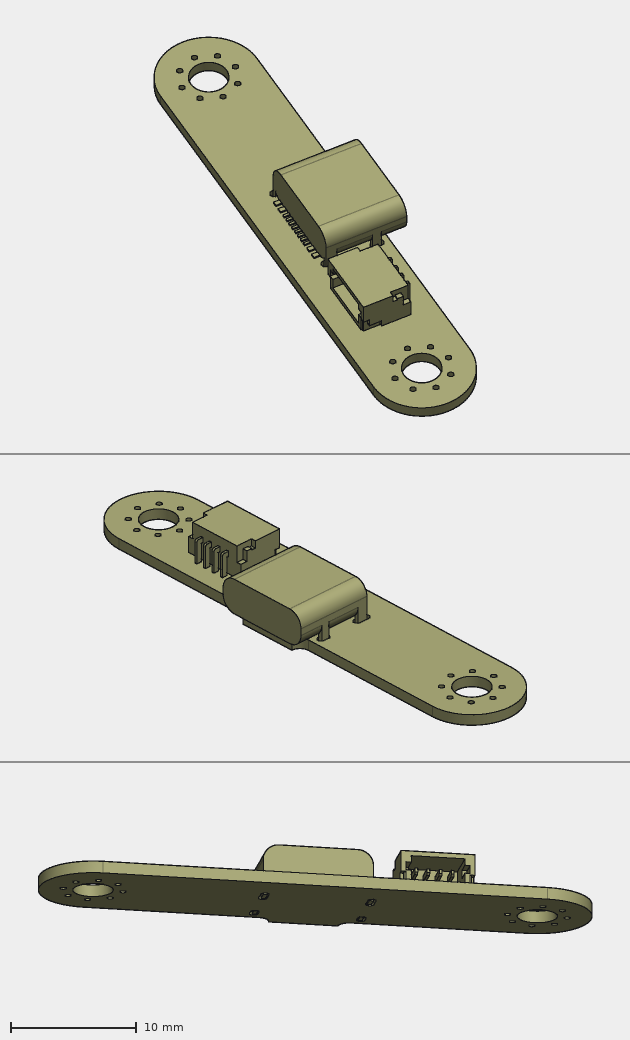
import cadquery as cq

BOARD_LENGTH = 44.7
BOARD_THICKNESS = 1.0
END_HOLE_PITCH = 36.0
BOARD_WIDTH = BOARD_LENGTH - END_HOLE_PITCH
END_HOLE_DIAMETER = 3.2
VIA_DIAMETER = 0.5
VIA_COUNT = 8
VIA_CIRCLE_RADIUS = 2.4
TONGUE_WIDTH = 5.65
TONGUE_PROJECTION = 0.95

USB_WIDTH = 8.95
USB_LENGTH = 7.3
USB_OVERHANG = 1.5
USB_REAR_Y = BOARD_WIDTH / 2 + USB_OVERHANG
USB_FRONT_Y = USB_REAR_Y - USB_LENGTH
USB_STANDOFF = 0.05
USB_TOP_Z = 4.25
USB_BOTTOM_Z = BOARD_THICKNESS + USB_STANDOFF
USB_EDGE_RADIUS = 1.3
LEG_THICKNESS = 0.35
LEG_TOP_Z = USB_BOTTOM_Z + USB_EDGE_RADIUS
REAR_LEG_LENGTH = 0.8
REAR_LEG_Y = 3.17
FRONT_LEG_LENGTH = 1.0
FRONT_LEG_Y = USB_FRONT_Y + FRONT_LEG_LENGTH / 2

SLOT_WIDTH = 0.65
SLOT_X = 4.35
REAR_SLOT_LENGTH = 1.15
REAR_SLOT_Y = 3.25
FRONT_SLOT_LENGTH = 1.6
FRONT_SLOT_Y = -0.95

USB_PIN_PROJECTION = 0.55
USB_PIN_ROOT = 0.9
USB_PIN_HEIGHT = 0.15
USB_PIN_PITCH = 0.5
SIGNAL_PIN_WIDTH = 0.22
SIGNAL_PINS_PER_SIDE = 4
POWER_PIN_WIDTH = 0.4
POWER_PIN_OFFSETS = (2.4, 3.2)

HEADER_X = 9.5
HEADER_WIDTH = 6.0
HEADER_LENGTH = 4.3
HEADER_SETBACK = 2.0
HEADER_FRONT_Y = HEADER_SETBACK - BOARD_WIDTH / 2
HEADER_REAR_Y = HEADER_FRONT_Y + HEADER_LENGTH
HEADER_STANDOFF = 0.1
HEADER_BOTTOM_Z = BOARD_THICKNESS + HEADER_STANDOFF
HEADER_TOP_Z = BOARD_THICKNESS + 3.1
CAVITY_WIDTH = 4.35
CAVITY_DEPTH = 3.35
CAVITY_BOTTOM_Z = BOARD_THICKNESS + 0.5
CAVITY_TOP_Z = BOARD_THICKNESS + 2.7

GROOVE_WALL = 0.4
GROOVE_DEPTH = 1.35
GROOVE_BOTTOM_Z = BOARD_THICKNESS + 1.48
GROOVE_TOP_Z = BOARD_THICKNESS + 2.15

RECESS_DEPTH = 0.4
RECESS_FRONT_LENGTH = 0.55
RECESS_FRONT_TOP_Z = BOARD_THICKNESS + 1.35
RECESS_LENGTH = 1.65
RECESS_REAR_TOP_Z = BOARD_THICKNESS + 0.65
TAB_THICKNESS = 0.15
TAB_SETBACK = 0.15

NOTCH_DEPTH = 0.45
NOTCH_LENGTH = 1.6
NOTCH_REAR_FLOOR_Z = BOARD_THICKNESS + 1.55
NOTCH_FRONT_FLOOR_Z = BOARD_THICKNESS + 2.4
NOTCH_BLOCK_LENGTH = 0.55
NOTCH_BLOCK_SETBACK = 0.65
NOTCH_BLOCK_TOP_Z = BOARD_THICKNESS + 2.55

CONTACT_COUNT = 4
CONTACT_PITCH = 1.0
CONTACT_WIDTH = 0.22
CONTACT_HEIGHT = 0.5
CONTACT_TOP_Z = BOARD_THICKNESS + 2.2
CONTACT_TIP_Y = HEADER_FRONT_Y + 1.55
CONTACT_TIP_BEVEL = 0.2
CONTACT_TAIL = 0.65
CONTACT_BEND_RADIUS = 0.22

SIDES = (-1, 1)


def block(x_range, y_range, z_range):
    """Axis-aligned box between the given limits; the order of each pair is free."""
    spans = [(min(pair), max(pair)) for pair in (x_range, y_range, z_range)]
    sizes = [high - low for low, high in spans]
    corner = cq.Vector(*[low for low, high in spans])
    return cq.Workplane("XY").box(*sizes, centered=False).translate(corner)


def upright_slot(x, y, length):
    """Cutter for a round-ended slot along Y through the board."""
    return cq.Workplane("XY").center(x, y).slot2D(length, SLOT_WIDTH, 90).extrude(BOARD_THICKNESS)


def tongue():
    """Tongue on the +Y edge of the board, blended into the edge by a concave arc on each side."""
    half_width = TONGUE_WIDTH / 2
    edge_y = BOARD_WIDTH / 2
    tip_y = edge_y + TONGUE_PROJECTION
    base_x = half_width + TONGUE_PROJECTION
    return (
        cq.Workplane("XY")
        .moveTo(-base_x, 0)
        .lineTo(-base_x, edge_y)
        .radiusArc((-half_width, tip_y), -TONGUE_PROJECTION)
        .lineTo(half_width, tip_y)
        .radiusArc((base_x, edge_y), -TONGUE_PROJECTION)
        .lineTo(base_x, 0)
        .close()
        .extrude(BOARD_THICKNESS)
    )


def make_board():
    board = cq.Workplane("XY").slot2D(BOARD_LENGTH, BOARD_WIDTH).extrude(BOARD_THICKNESS)
    board = board.union(tongue())
    end_centres = [(side * END_HOLE_PITCH / 2, 0) for side in SIDES]
    board = board.faces(">Z").workplane(origin=(0, 0, 0)).pushPoints(end_centres).hole(END_HOLE_DIAMETER)
    for x, y in end_centres:
        ring = board.faces(">Z").workplane(origin=(x, y, 0))
        board = ring.polarArray(VIA_CIRCLE_RADIUS, 0, 360, VIA_COUNT).hole(VIA_DIAMETER)
    for side in SIDES:
        board = board.cut(upright_slot(side * SLOT_X, REAR_SLOT_Y, REAR_SLOT_LENGTH))
        board = board.cut(upright_slot(side * SLOT_X, FRONT_SLOT_Y, FRONT_SLOT_LENGTH))
    return board


def usb_leg(side, y, length):
    """Leg flush with the side of the shell, reaching through the board."""
    outer_x = side * USB_WIDTH / 2
    inner_x = outer_x - side * LEG_THICKNESS
    return block((inner_x, outer_x), (y - length / 2, y + length / 2), (0, LEG_TOP_Z))


def usb_pin(x, width):
    return block(
        (x - width / 2, x + width / 2),
        (USB_FRONT_Y - USB_PIN_PROJECTION, USB_FRONT_Y + USB_PIN_ROOT),
        (BOARD_THICKNESS, BOARD_THICKNESS + USB_PIN_HEIGHT),
    )


def make_usb_socket():
    half_width = USB_WIDTH / 2
    socket = block((-half_width, half_width), (USB_FRONT_Y, USB_REAR_Y), (USB_BOTTOM_Z, USB_TOP_Z))
    socket = socket.edges("|Y").fillet(USB_EDGE_RADIUS)
    signal_offsets = [(index + 0.5) * USB_PIN_PITCH for index in range(SIGNAL_PINS_PER_SIDE)]
    for side in SIDES:
        socket = socket.union(usb_leg(side, REAR_LEG_Y, REAR_LEG_LENGTH))
        socket = socket.union(usb_leg(side, FRONT_LEG_Y, FRONT_LEG_LENGTH))
        for offset in signal_offsets:
            socket = socket.union(usb_pin(side * offset, SIGNAL_PIN_WIDTH))
        for offset in POWER_PIN_OFFSETS:
            socket = socket.union(usb_pin(side * offset, POWER_PIN_WIDTH))
    return socket


def header_side_range(side, near, far):
    """X limits at two depths measured inwards from one side of the header."""
    outer_x = HEADER_X + side * HEADER_WIDTH / 2
    return (outer_x - side * near, outer_x - side * far)


def cut_cavity(header):
    half_width = CAVITY_WIDTH / 2
    cavity = block(
        (HEADER_X - half_width, HEADER_X + half_width),
        (HEADER_FRONT_Y, HEADER_FRONT_Y + CAVITY_DEPTH),
        (CAVITY_BOTTOM_Z, CAVITY_TOP_Z),
    )
    half_span = HEADER_WIDTH / 2 - GROOVE_WALL
    grooves = block(
        (HEADER_X - half_span, HEADER_X + half_span),
        (HEADER_FRONT_Y, HEADER_FRONT_Y + GROOVE_DEPTH),
        (GROOVE_BOTTOM_Z, GROOVE_TOP_Z),
    )
    return header.cut(cavity).cut(grooves)


def add_solder_tab(header, side):
    """Stepped recess in a lower front corner with a thin tab against its inner wall."""
    recess_x = header_side_range(side, 0, RECESS_DEPTH)
    rear_y = HEADER_FRONT_Y + RECESS_LENGTH
    step_y = HEADER_FRONT_Y + RECESS_FRONT_LENGTH
    low_recess = block(recess_x, (HEADER_FRONT_Y, rear_y), (BOARD_THICKNESS, RECESS_REAR_TOP_Z))
    tall_recess = block(recess_x, (HEADER_FRONT_Y, step_y), (BOARD_THICKNESS, RECESS_FRONT_TOP_Z))
    tab = block(
        header_side_range(side, RECESS_DEPTH - TAB_THICKNESS, RECESS_DEPTH),
        (HEADER_FRONT_Y + TAB_SETBACK, rear_y),
        (BOARD_THICKNESS, RECESS_FRONT_TOP_Z),
    )
    return header.cut(low_recess).cut(tall_recess).union(tab)


def cut_rear_notch(header, side):
    """Notch in an upper rear corner whose floor has three levels, the middle one highest."""
    notch_x = header_side_range(side, 0, NOTCH_DEPTH)
    block_rear_y = HEADER_REAR_Y - NOTCH_BLOCK_SETBACK
    block_front_y = block_rear_y - NOTCH_BLOCK_LENGTH
    steps = [
        (HEADER_REAR_Y, block_rear_y, NOTCH_REAR_FLOOR_Z),
        (block_rear_y, block_front_y, NOTCH_BLOCK_TOP_Z),
        (block_front_y, HEADER_REAR_Y - NOTCH_LENGTH, NOTCH_FRONT_FLOOR_Z),
    ]
    for rear_y, front_y, floor_z in steps:
        header = header.cut(block(notch_x, (front_y, rear_y), (floor_z, HEADER_TOP_Z)))
    return header


def header_contact(x):
    """Bar from its bevelled tip in the cavity to a rounded bend behind the header, then down."""
    tail_y = HEADER_REAR_Y + CONTACT_TAIL
    bar_bottom_z = CONTACT_TOP_Z - CONTACT_HEIGHT
    outline = (
        cq.Workplane("YZ", origin=(x - CONTACT_WIDTH / 2, 0, 0))
        .moveTo(CONTACT_TIP_Y, CONTACT_TOP_Z)
        .lineTo(tail_y - CONTACT_BEND_RADIUS, CONTACT_TOP_Z)
        .radiusArc((tail_y, CONTACT_TOP_Z - CONTACT_BEND_RADIUS), CONTACT_BEND_RADIUS)
        .lineTo(tail_y, BOARD_THICKNESS)
        .lineTo(tail_y - CONTACT_HEIGHT, BOARD_THICKNESS)
        .lineTo(tail_y - CONTACT_HEIGHT, bar_bottom_z)
        .lineTo(CONTACT_TIP_Y + CONTACT_TIP_BEVEL, bar_bottom_z)
        .lineTo(CONTACT_TIP_Y, bar_bottom_z + CONTACT_TIP_BEVEL)
        .close()
    )
    return outline.extrude(CONTACT_WIDTH)


def make_header():
    half_width = HEADER_WIDTH / 2
    header = block(
        (HEADER_X - half_width, HEADER_X + half_width),
        (HEADER_FRONT_Y, HEADER_REAR_Y),
        (HEADER_BOTTOM_Z, HEADER_TOP_Z),
    )
    header = cut_cavity(header)
    for side in SIDES:
        header = add_solder_tab(header, side)
        header = cut_rear_notch(header, side)
    for index in range(CONTACT_COUNT):
        offset = (index - (CONTACT_COUNT - 1) / 2) * CONTACT_PITCH
        header = header.union(header_contact(HEADER_X + offset))
    return header


board = make_board()
usb_socket = make_usb_socket()
header = make_header()

result = cq.Compound.makeCompound([board.val(), usb_socket.val(), header.val()])